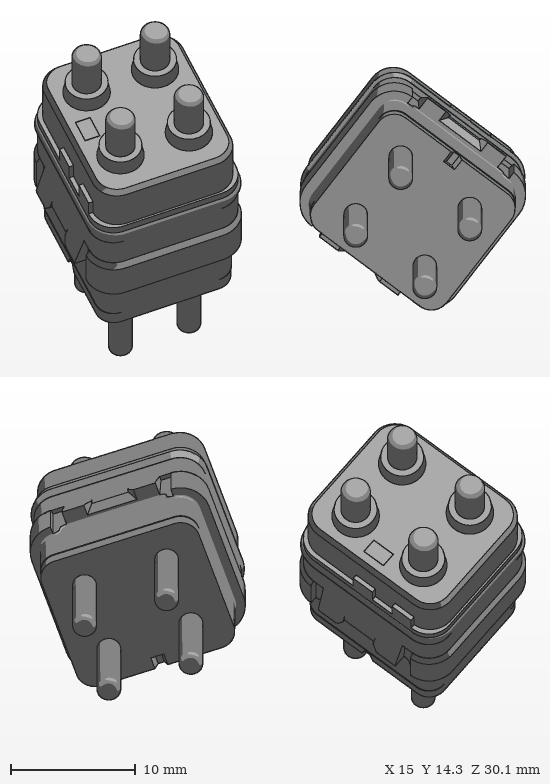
import cadquery as cq
import math

FOOT_TOP = 1.2
COLLAR_BOTTOM = 4.8
COLLAR_TOP = 8.5
RIB_BOTTOM = 11.1
RIB_CREST = 11.87
MID_TOP = 13.07
HOUSING_TOP = 17.25
BOSS_CONE_TOP = 18.17
BOSS_TOP = 18.55
PIN_BOTTOM = -7.85
PIN_TOP = 22.25

LOWER_X, LOWER_Y, LOWER_R = 13.3, 11.72, 1.53
FOOT_Y = 11.6
MID_X, MID_Y, MID_R = 14.4, 12.76, 2.1
COLLAR_X, COLLAR_Y, COLLAR_R = 15.0, 13.3, 2.4
RIB_X, RIB_Y, RIB_R = 14.84, 13.26, 2.35
UPPER_X, UPPER_Y, UPPER_R = 14.05, 12.0, 2.1

COLLAR_CHAMFER_HEIGHT = 0.55
RIB_CREST_BAND = 0.03
RIB_UPPER_RADIUS = 0.65
UPPER_CHAMFER_HEIGHT = 0.45
UPPER_CHAMFER_INSET = 0.32
ROOT_RADIUS = 0.15

PIN_PITCH_X = 6.95
PIN_PITCH_Y = 5.95
UPPER_PIN_D = 2.37
LOWER_PIN_D = 1.92
UPPER_PIN_ROUND = 0.5
LOWER_PIN_ROUND = 0.35
BOSS_D = 3.45
BOSS_BASE_D = 3.8

WINDOW_HALF = 5.1
WINDOW_WALL_Y = 6.03
WINDOW_BOTTOM = 5.8
RELIEF_HALF_TOP = 4.03
WEDGE_HALF_TOP = 4.05
WEDGE_HALF_BOTTOM = 3.95
WEDGE_TIP_Y = 7.15
WEDGE_LIP = 0.2
NOTCH_HALF = 1.55
NOTCH_HALF_BOTTOM = 2.1
NOTCH_TOP = 7.24
NOTCH_KNEE = 6.5
NOTCH_WALL_Y = 6.78
UNDERCUT_ROOT_Y = 6.25

TAB_WIDTH = 1.97
TAB_TOP = 14.47
TAB_DEPTH = 1.0
TAB_CENTERS = (0.0, 3.98)

KEY_HALF_BOTTOM = 0.55
KEY_HALF_TOP = 0.27
KEY_HEIGHT = 0.76
KEY_DEPTH = 1.0

RECESS_X, RECESS_Y, RECESS_DEPTH = 2.0, 1.27, 0.05
RECESS_CENTER_Y = -4.36


def block(length, width, radius, bottom, top):
    """Upright block with rounded vertical corners."""
    body = cq.Workplane("XY").workplane(offset=bottom).rect(length, width).extrude(top - bottom)
    return body.edges("|Z").fillet(radius)


def profile_prism(points, near_y, far_y):
    """Prism with an XZ polygon as its section, running from near_y to far_y."""
    return cq.Workplane("XZ", origin=(0, near_y, 0)).polyline(points).close().extrude(near_y - far_y)


def both_sides(feature):
    """The feature together with its mirror image across the XZ plane."""
    return feature.union(feature.mirror("XZ"))


def make_collar():
    """Widest tier, with its top edge sloping in to the middle tier."""
    inset = (COLLAR_X - MID_X) / 2
    collar = block(COLLAR_X, COLLAR_Y, COLLAR_R, COLLAR_BOTTOM, COLLAR_TOP)
    return collar.faces(">Z").edges().chamfer(COLLAR_CHAMFER_HEIGHT, inset)


def make_window():
    """Opening in the collar, reaching a little deeper than the middle tier above it."""
    height = COLLAR_TOP - COLLAR_BOTTOM
    depth = COLLAR_Y / 2 - WINDOW_WALL_Y
    return cq.Workplane("XY").box(2 * WINDOW_HALF, depth, height).translate(
        (0, -WINDOW_WALL_Y - depth / 2, COLLAR_BOTTOM + height / 2)
    )


def make_relief():
    """S-sided arched cut in the window wall, reaching back to the lower tier."""
    arc_radius = (WINDOW_BOTTOM - COLLAR_BOTTOM) / 2
    arc_near = arc_radius * math.sin(math.pi / 4)
    arc_far = arc_radius - arc_near
    bend_x = RELIEF_HALF_TOP + arc_radius
    bend_z = COLLAR_BOTTOM + arc_radius
    foot_x = bend_x + arc_radius
    upper_mid = (RELIEF_HALF_TOP + arc_near, WINDOW_BOTTOM - arc_far)
    lower_mid = (bend_x + arc_far, COLLAR_BOTTOM + arc_far)
    outline = (
        cq.Workplane("XZ", origin=(0, -LOWER_Y / 2, 0))
        .moveTo(-foot_x, COLLAR_BOTTOM)
        .threePointArc((-lower_mid[0], lower_mid[1]), (-bend_x, bend_z))
        .threePointArc((-upper_mid[0], upper_mid[1]), (-RELIEF_HALF_TOP, WINDOW_BOTTOM))
        .lineTo(RELIEF_HALF_TOP, WINDOW_BOTTOM)
        .threePointArc(upper_mid, (bend_x, bend_z))
        .threePointArc(lower_mid, (foot_x, COLLAR_BOTTOM))
        .close()
    )
    return outline.extrude(COLLAR_Y / 2 - LOWER_Y / 2)


def make_wedge():
    """Latch wedge whose lower middle is notched, with an undercut below the notch wall."""
    section = [
        (-LOWER_Y / 2, COLLAR_TOP),
        (-MID_Y / 2, COLLAR_TOP),
        (-WEDGE_TIP_Y, WINDOW_BOTTOM + WEDGE_LIP),
        (-WEDGE_TIP_Y, WINDOW_BOTTOM),
        (-LOWER_Y / 2, WINDOW_BOTTOM),
    ]
    front_outline = [
        (-WEDGE_HALF_TOP, COLLAR_TOP),
        (WEDGE_HALF_TOP, COLLAR_TOP),
        (WEDGE_HALF_BOTTOM, WINDOW_BOTTOM),
        (-WEDGE_HALF_BOTTOM, WINDOW_BOTTOM),
    ]
    wedge = cq.Workplane("YZ").polyline(section).close().extrude(WEDGE_HALF_TOP, both=True)
    wedge = wedge.intersect(profile_prism(front_outline, -LOWER_Y / 2, -WEDGE_TIP_Y))
    notch_outline = [
        (-NOTCH_HALF, NOTCH_TOP),
        (NOTCH_HALF, NOTCH_TOP),
        (NOTCH_HALF, NOTCH_KNEE),
        (NOTCH_HALF_BOTTOM, WINDOW_BOTTOM),
        (-NOTCH_HALF_BOTTOM, WINDOW_BOTTOM),
        (-NOTCH_HALF, NOTCH_KNEE),
    ]
    notch = profile_prism(notch_outline, -WINDOW_WALL_Y, -WEDGE_TIP_Y)
    undercut_section = [
        (-NOTCH_WALL_Y, NOTCH_TOP),
        (-WEDGE_TIP_Y, NOTCH_TOP),
        (-WEDGE_TIP_Y, WINDOW_BOTTOM),
        (-UNDERCUT_ROOT_Y, WINDOW_BOTTOM),
        (-NOTCH_WALL_Y, NOTCH_KNEE),
    ]
    undercut = cq.Workplane("YZ").polyline(undercut_section).close().extrude(NOTCH_HALF_BOTTOM, both=True)
    return wedge.cut(notch.intersect(undercut))


def is_root_edge(edge):
    """True for edges where the lower tier meets the underside of the collar and its reliefs."""
    box = edge.BoundingBox()
    tolerance = 1e-3
    within_x = max(-box.xmin, box.xmax) < LOWER_X / 2 + tolerance
    within_y = max(-box.ymin, box.ymax) < LOWER_Y / 2 + tolerance
    within_z = box.zmin > COLLAR_BOTTOM - tolerance and box.zmax < WINDOW_BOTTOM + tolerance
    return within_x and within_y and within_z


def make_lower_housing():
    """Lower tier and collar with its windows, blended at the root."""
    foot = block(LOWER_X, FOOT_Y, LOWER_R, 0, FOOT_TOP)
    lower = block(LOWER_X, LOWER_Y, LOWER_R, FOOT_TOP, COLLAR_TOP)
    collar = make_collar().cut(both_sides(make_window())).cut(both_sides(make_relief()))
    housing = lower.union(collar)
    housing = housing.edges().filter(is_root_edge).fillet(ROOT_RADIUS)
    return housing.union(foot).union(both_sides(make_wedge()))


def make_rib():
    """Sealing rib with a long lower slope and a rounded upper edge."""
    top = RIB_CREST + RIB_CREST_BAND + RIB_UPPER_RADIUS
    rib = block(RIB_X, RIB_Y, RIB_R, RIB_BOTTOM, top)
    rib = rib.faces("<Z").edges().chamfer(RIB_CREST - RIB_BOTTOM, (RIB_X - MID_X) / 2)
    return rib.faces(">Z").edges().fillet(RIB_UPPER_RADIUS)


def make_upper_housing():
    """Middle tier with its rib and coding tabs, and the chamfered top tier."""
    middle = block(MID_X, MID_Y, MID_R, COLLAR_TOP, MID_TOP).union(make_rib())
    upper = block(UPPER_X, UPPER_Y, UPPER_R, MID_TOP, HOUSING_TOP)
    upper = upper.faces(">Z").edges().chamfer(UPPER_CHAMFER_HEIGHT, UPPER_CHAMFER_INSET)
    housing = middle.union(upper)
    tab_height = TAB_TOP - MID_TOP
    for center in TAB_CENTERS:
        tab = cq.Workplane("XY").box(TAB_WIDTH, TAB_DEPTH, tab_height).translate(
            (center, -MID_Y / 2 + TAB_DEPTH / 2, MID_TOP + tab_height / 2)
        )
        housing = housing.union(tab)
    return housing


def make_key_notch():
    """Tapered notch through the lower edge of the foot on the -Y side."""
    outline = [
        (-KEY_HALF_BOTTOM, 0),
        (-KEY_HALF_TOP, KEY_HEIGHT),
        (KEY_HALF_TOP, KEY_HEIGHT),
        (KEY_HALF_BOTTOM, 0),
    ]
    return profile_prism(outline, -FOOT_Y / 2 + KEY_DEPTH, -FOOT_Y / 2)


def make_marking_recess():
    """Rectangular recess in the top face, near the -Y edge."""
    recess = cq.Workplane("XY").box(RECESS_X, RECESS_Y, RECESS_DEPTH)
    return recess.translate((0, RECESS_CENTER_Y, HOUSING_TOP - RECESS_DEPTH / 2))


def make_contact(x, y):
    """Lower pin, tapered boss and upper pin on one axis."""
    lower_pin = cq.Workplane("XY").workplane(offset=PIN_BOTTOM).circle(LOWER_PIN_D / 2)
    lower_pin = lower_pin.extrude(HOUSING_TOP - PIN_BOTTOM).faces("<Z").edges().fillet(LOWER_PIN_ROUND)
    boss_section = [
        (0, HOUSING_TOP),
        (BOSS_BASE_D / 2, HOUSING_TOP),
        (BOSS_D / 2, BOSS_CONE_TOP),
        (BOSS_D / 2, BOSS_TOP),
        (0, BOSS_TOP),
    ]
    boss = cq.Workplane("XZ").polyline(boss_section).close().revolve(360, (0, 0, 0), (0, 1, 0))
    upper_pin = cq.Workplane("XY").workplane(offset=HOUSING_TOP).circle(UPPER_PIN_D / 2)
    upper_pin = upper_pin.extrude(PIN_TOP - HOUSING_TOP).faces(">Z").edges().fillet(UPPER_PIN_ROUND)
    return lower_pin.union(boss).union(upper_pin).translate((x, y, 0))


result = make_lower_housing().union(make_upper_housing())
result = result.cut(make_key_notch()).cut(make_marking_recess())
for x_side in (-1, 1):
    for y_side in (-1, 1):
        result = result.union(make_contact(x_side * PIN_PITCH_X / 2, y_side * PIN_PITCH_Y / 2))